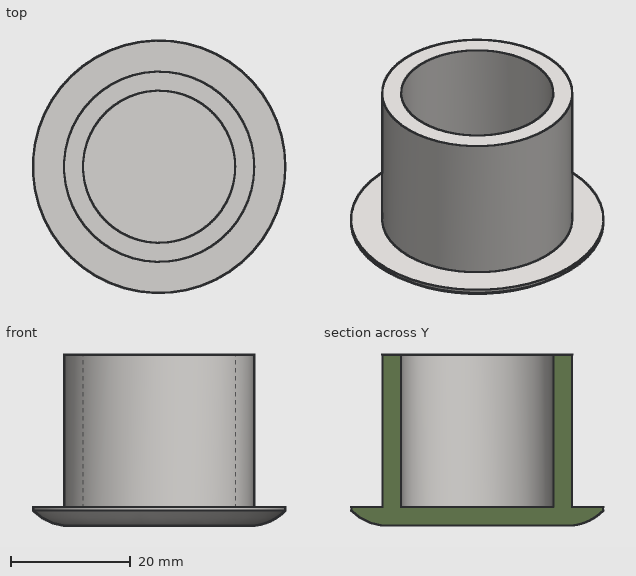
import cadquery as cq
import math

FLANGE_DIAMETER = 42.164
TUBE_OUTER_DIAMETER = 31.75
TUBE_INNER_DIAMETER = 25.4
TUBE_HEIGHT = 25.4
FLANGE_THICKNESS = 3.175
RIM_HEIGHT = 0.635
CROWN_RADIUS = 8.636

flange_radius = FLANGE_DIAMETER / 2
tube_outer_radius = TUBE_OUTER_DIAMETER / 2
tube_inner_radius = TUBE_INNER_DIAMETER / 2
bottom_radius = tube_outer_radius

crown_width = flange_radius - bottom_radius
crown_height = FLANGE_THICKNESS - RIM_HEIGHT
crown_chord = math.hypot(crown_width, crown_height)
crown_bulge = CROWN_RADIUS - math.sqrt(CROWN_RADIUS**2 - (crown_chord / 2) ** 2)


def make_flange():
    """Closed disc with a flat bottom, a rounded underside and a thin straight rim."""
    arc_middle = (
        bottom_radius + crown_width / 2 + crown_bulge * crown_height / crown_chord,
        crown_height / 2 - crown_bulge * crown_width / crown_chord,
    )
    return (
        cq.Workplane("XZ")
        .lineTo(bottom_radius, 0)
        .threePointArc(arc_middle, (flange_radius, crown_height))
        .lineTo(flange_radius, FLANGE_THICKNESS)
        .lineTo(0, FLANGE_THICKNESS)
        .close()
        .revolve(360, (0, 0, 0), (0, 1, 0))
    )


def make_tube():
    """Open tube standing on the flange, which closes its lower end."""
    return (
        cq.Workplane("XY")
        .workplane(offset=FLANGE_THICKNESS)
        .circle(tube_outer_radius)
        .circle(tube_inner_radius)
        .extrude(TUBE_HEIGHT)
    )


result = make_flange().union(make_tube())